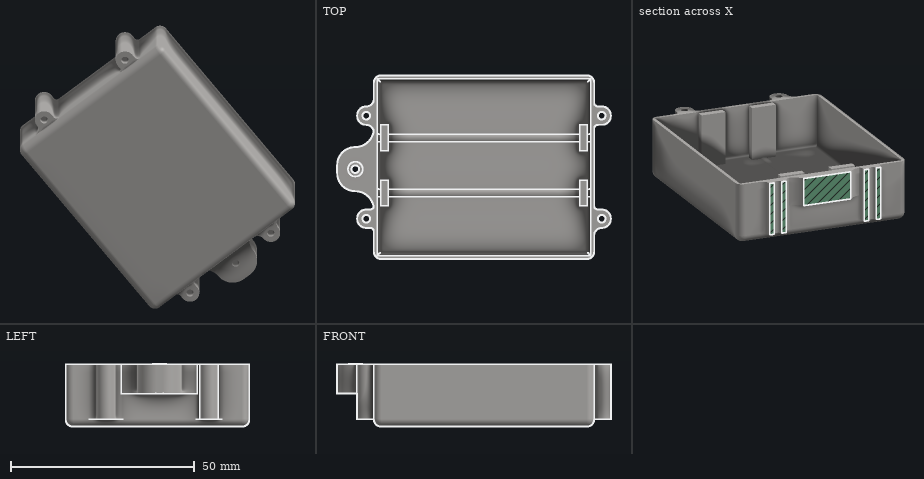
import cadquery as cq
import math

BODY_LENGTH = 60.0
BODY_WIDTH = 50.0
BODY_HEIGHT = 17.0
OUTER_RADIUS = 2.0
WALL = 1.0
FLOOR = 2.0
INNER_RADIUS = 1.0

HOLE_DIAMETER = 2.0
LUG_RADIUS = 2.5
LUG_REACH = 2.0
LUG_Y = 14.0
SMALL_BLEND = 1.0
LARGE_BLEND = LUG_REACH

TAB_HEIGHT = 8.0
TAB_REACH = 5.0
TAB_HALF_WIDTH = 6.0
TAB_RADIUS = 5.0
TAB_Y = -0.5
COLLAR_DIAMETER = 4.0
COLLAR_HEIGHT = 0.15

RIB_Y = (8.0, -7.0)
RIB_WIDTH = 2.0
RIB_HEIGHT = 0.26
PLATE_THICKNESS = 2.0
PLATE_WIDTH = 7.0
PLATE_GAP = 1.0

HALF_LENGTH = BODY_LENGTH / 2
CAVITY_HALF_LENGTH = HALF_LENGTH - WALL
CAVITY_HALF_WIDTH = BODY_WIDTH / 2 - WALL
OVERLAP = WALL / 2
LUG_BOTTOM = OUTER_RADIUS
TAB_HOLE_X = -HALF_LENGTH - TAB_REACH


def make_rib(y):
    """Low rib with a rounded crown, as long as the cavity."""
    return (
        cq.Workplane("YZ", origin=(-CAVITY_HALF_LENGTH, y, FLOOR))
        .moveTo(-RIB_WIDTH / 2, 0)
        .threePointArc((0, RIB_HEIGHT), (RIB_WIDTH / 2, 0))
        .close()
        .extrude(2 * CAVITY_HALF_LENGTH)
    )


def wall_foot_edges():
    """Selector for the edges where floor and ribs meet the walls, told apart by their midpoints."""
    def slab(half_length, half_width):
        top = FLOOR + INNER_RADIUS
        return cq.selectors.BoxSelector((-half_length, -half_width, 0), (half_length, half_width, top))

    everything_low = slab(HALF_LENGTH, BODY_WIDTH / 2)
    away_from_walls = slab(CAVITY_HALF_LENGTH - WALL, CAVITY_HALF_WIDTH - WALL)
    return everything_low - away_from_walls


def make_cavity():
    """Inner space of the tray, with the ribs left standing and every wall foot rounded."""
    cavity = (
        cq.Workplane("XY", origin=(0, 0, FLOOR))
        .box(2 * CAVITY_HALF_LENGTH, 2 * CAVITY_HALF_WIDTH, BODY_HEIGHT, centered=(True, True, False))
    )
    for y in RIB_Y:
        cavity = cavity.cut(make_rib(y))
    return cavity.edges(wall_foot_edges()).fillet(INNER_RADIUS)


def make_body():
    block = (
        cq.Workplane("XY")
        .box(BODY_LENGTH, BODY_WIDTH, BODY_HEIGHT, centered=(True, True, False))
        .edges("|Z").fillet(OUTER_RADIUS)
        .faces("<Z").edges().fillet(OUTER_RADIUS)
    )
    return block.cut(make_cavity())


def make_flange(side, y, bottom, tip, half_width, corner, blend_up, blend_down):
    """Rounded lug on an end wall: side is +1 or -1, blends are the concave radii at +Y and -Y.

    The end corners have radius `corner`, centred at distance `tip` from the wall.
    """
    def at(out, across):
        return (side * (HALF_LENGTH + out), y + across)

    k = math.sqrt(0.5)
    reach = tip + corner
    flat = half_width - corner
    top = half_width + blend_up
    low = -half_width - blend_down
    outline = (
        cq.Workplane("XY", origin=(0, 0, bottom))
        .moveTo(*at(-OVERLAP, top))
        .lineTo(*at(0, top))
        .threePointArc(at(blend_up * (1 - k), top - blend_up * k), at(blend_up, half_width))
    )
    if tip > blend_up:
        outline = outline.lineTo(*at(tip, half_width))
    outline = outline.threePointArc(at(tip + corner * k, flat + corner * k), at(reach, flat))
    if flat > 0:
        outline = outline.lineTo(*at(reach, -flat))
    outline = outline.threePointArc(at(tip + corner * k, -flat - corner * k), at(tip, -half_width))
    if tip > blend_down:
        outline = outline.lineTo(*at(blend_down, -half_width))
    return (
        outline
        .threePointArc(at(blend_down * (1 - k), low + blend_down * k), at(0, low))
        .lineTo(*at(-OVERLAP, low))
        .close()
        .extrude(BODY_HEIGHT - bottom)
    )


def make_lug(side, y, blend_up, blend_down):
    return make_flange(
        side, y, LUG_BOTTOM, LUG_REACH, LUG_RADIUS, LUG_RADIUS, blend_up, blend_down
    )


def make_tab():
    tab = make_flange(
        -1, TAB_Y, BODY_HEIGHT - TAB_HEIGHT, TAB_REACH, TAB_HALF_WIDTH, TAB_RADIUS, TAB_RADIUS, TAB_RADIUS
    )
    inner = HOLE_DIAMETER / 2
    outer = COLLAR_DIAMETER / 2
    collar = (
        cq.Workplane("XZ", origin=(TAB_HOLE_X, TAB_Y, BODY_HEIGHT))
        .moveTo(inner, 0)
        .threePointArc(((inner + outer) / 2, COLLAR_HEIGHT), (outer, 0))
        .close()
        .revolve(360, (0, 0), (0, 1))
    )
    return tab.union(collar)


def make_plate(side, y):
    x = side * (CAVITY_HALF_LENGTH - PLATE_GAP - PLATE_THICKNESS / 2)
    height = BODY_HEIGHT - FLOOR
    return (
        cq.Workplane("XY", origin=(x, y, FLOOR))
        .box(PLATE_THICKNESS, PLATE_WIDTH, height, centered=(True, True, False))
    )


def make_holes():
    lug_x = HALF_LENGTH + LUG_REACH
    centres = [(side * lug_x, y) for side in (-1, 1) for y in (-LUG_Y, LUG_Y)]
    centres.append((TAB_HOLE_X, TAB_Y))
    return (
        cq.Workplane("XY")
        .pushPoints(centres)
        .circle(HOLE_DIAMETER / 2)
        .extrude(BODY_HEIGHT + COLLAR_HEIGHT)
    )


LUGS = (
    (-1, LUG_Y, LARGE_BLEND, LARGE_BLEND),
    (-1, -LUG_Y, SMALL_BLEND, SMALL_BLEND),
    (1, LUG_Y, SMALL_BLEND, SMALL_BLEND),
    (1, -LUG_Y, SMALL_BLEND, LARGE_BLEND),
)

result = make_body().union(make_tab())
for lug in LUGS:
    result = result.union(make_lug(*lug))
for plate_y in RIB_Y:
    for plate_side in (-1, 1):
        result = result.union(make_plate(plate_side, plate_y))
result = result.cut(make_holes())